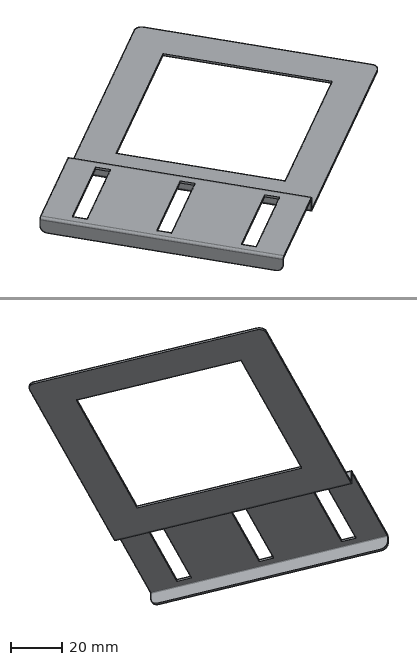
import cadquery as cq

thickness = 1.0
width = 98.5
total_length = 140.5
height = 7.0

frame_length = width
window_margin = 15.0
window_size = width - 2 * window_margin
frame_corner_radius = 3.0

slot_count = 3
slot_width = 6.0
slot_length = 34.0
slot_side_distance = 15.0
slot_pitch = (width - 2 * slot_side_distance) / (slot_count - 1)
slot_front_margin = 4.0

inner_bend_radius = 0.1
outer_bend_radius = inner_bend_radius + thickness
lip_corner_radius = 3.0

front_y = -total_length / 2
back_y = total_length / 2
step_y = back_y - frame_length


def folded_sheet():
    """Extrude the side profile (lower plate, step wall, shelf, front lip) and round its bends."""
    lip_inner_y = front_y + thickness
    wall_front_y = step_y - thickness
    shelf_underside = height - thickness
    wall_foot_outer = (wall_front_y, 0)
    wall_foot_inner = (step_y, thickness)
    wall_head_outer = (step_y, height)
    wall_head_inner = (wall_front_y, shelf_underside)
    lip_head_outer = (front_y, height)
    lip_head_inner = (lip_inner_y, shelf_underside)
    profile = [
        (back_y, 0),
        wall_foot_outer,
        wall_head_inner,
        lip_head_inner,
        (lip_inner_y, 0),
        (front_y, 0),
        lip_head_outer,
        wall_head_outer,
        wall_foot_inner,
        (back_y, thickness),
    ]
    sheet = cq.Workplane("YZ").polyline(profile).close().extrude(width / 2, both=True)
    sheet = round_bends(sheet, [wall_foot_outer, wall_head_outer, lip_head_outer], outer_bend_radius)
    return round_bends(sheet, [wall_foot_inner, wall_head_inner, lip_head_inner], inner_bend_radius)


def round_bends(sheet, corners, radius):
    """Round the edges along X that pass through the given (y, z) corners."""
    for y, z in corners:
        sheet = sheet.edges(cq.selectors.NearestToPointSelector((0, y, z))).fillet(radius)
    return sheet


def window_cutter():
    """Square opening centred in the frame."""
    return (
        cq.Workplane("XY")
        .center(0, (back_y + step_y) / 2)
        .rect(window_size, window_size)
        .extrude(thickness)
    )


def slot_cutter():
    """Row of slots through the shelf, set back from the front face."""
    slot_center_y = front_y + slot_front_margin + slot_length / 2
    return (
        cq.Workplane("XY", origin=(0, slot_center_y, height - thickness))
        .rarray(slot_pitch, 1, slot_count, 1)
        .rect(slot_width, slot_length)
        .extrude(thickness)
    )


def round_frame_corners(sheet):
    """Round the two back corners of the frame."""
    return sheet.edges("|Z and >Y").fillet(frame_corner_radius)


def round_lip_corners(sheet):
    """Round the two lower corners of the front lip."""
    lip_zone = cq.selectors.BoxSelector(
        (-width, front_y - thickness, -thickness),
        (width, front_y + 2 * thickness, thickness),
    )
    return sheet.edges(lip_zone).edges("|Y").fillet(lip_corner_radius)


bracket = round_lip_corners(round_frame_corners(folded_sheet()))
result = bracket.cut(window_cutter()).cut(slot_cutter())